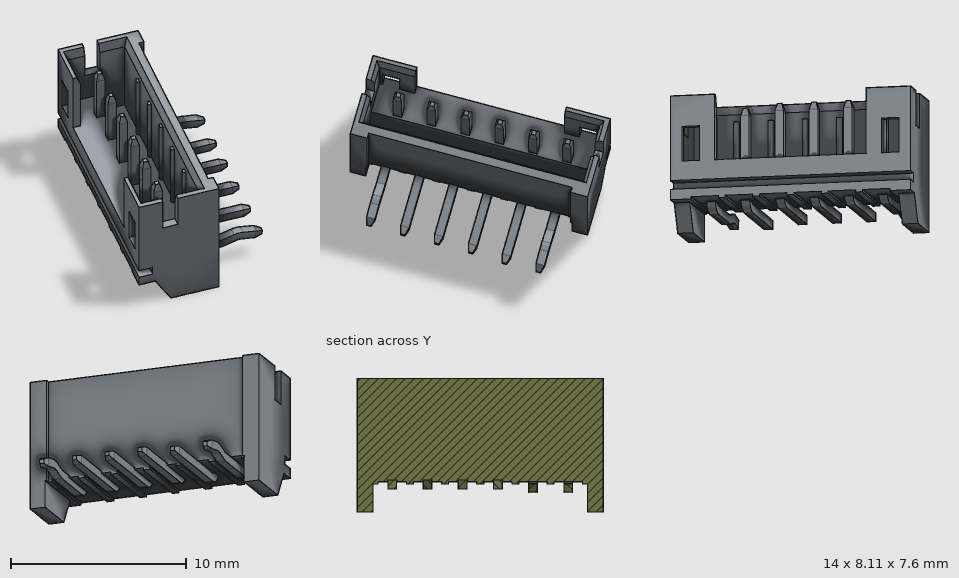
import cadquery as cq
import math


LENGTH = 14.0
HEIGHT = 7.6
DEPTH = 4.82
HALF_LENGTH = LENGTH / 2

PIN_COUNT = 6
PITCH = LENGTH / (PIN_COUNT + 1)
PIN_SIZE = 0.5

BODY_BOTTOM = 1.6
FOOT_WIDTH = 0.91
FOOT_FRONT = 1.92
FOOT_SLOPE_TOP = 0.98
NOTCH_WIDTH = 1.6
NOTCH_HEIGHT = 0.13

GROOVE_BOTTOM = 2.2
GROOVE_TOP = 2.7
GROOVE_DEPTH = 0.83

BACK_RECESS_DEPTH = 0.31
BACK_RECESS_LENGTH = PIN_COUNT * PITCH

SIDE_WALL = 0.5
FRONT_WALL = 0.43
CAVITY_BACK = 3.82
FLOOR = 3.81
LOW_FLOOR = 2.59
FLOOR_EDGE = 2.15
TROUGH_FRONT = 2.67
MOUTH_CHAMFER_WIDTH = 0.21
MOUTH_CHAMFER_HEIGHT = 0.52

FRONT_OPENING = 8.82
WINDOW_WIDTH = 1.01
WINDOW_TOP = 5.81
WINDOW_X = 5.81
SLOT_FRONT = 1.44
SLOT_BACK = 2.34
SLOT_BOTTOM = 5.59

RIB_RADIUS = 0.17
RIB_TOP = 6.66

UPRIGHT_Y = 1.76
SHOULDER_Z = 6.79
TAIL_Z = 1.57
TAIL_SHOULDER_Y = 7.63
BEND_RADIUS = 0.75
TIP_LENGTH = 0.43
TIP_SIZE = 0.25

KINK_START = 5.56
KINK_APEX = 6.61
KINK_RISE_ANGLE = math.radians(15)
KINK_FALL_ANGLE = math.radians(10)
KINK_ROUND = 0.21

LOW_PINS = (0, 1)
LOW_PIN_OFFSET = (0, 0.03, -0.2)
KINKED_PINS = (0, PIN_COUNT - 1)


def row(count):
    """X positions of a centred row at the pin pitch."""
    return [(i - (count - 1) / 2) * PITCH for i in range(count)]


def box(x0, x1, y0, y1, z0, z1):
    return cq.Workplane("XY").box(x1 - x0, y1 - y0, z1 - z0, centered=False).translate((x0, y0, z0))


def centred_box(x, width, y0, y1, z0, z1):
    return box(x - width / 2, x + width / 2, y0, y1, z0, z1)


def extrude_along_x(points, length):
    """Extrude a (Y, Z) outline symmetrically about X = 0."""
    return cq.Workplane("YZ").polyline(points).close().extrude(length / 2, both=True)


def make_shell():
    side_outline = [
        (0, HEIGHT),
        (0, GROOVE_TOP),
        (GROOVE_DEPTH, GROOVE_TOP),
        (GROOVE_DEPTH, GROOVE_BOTTOM),
        (0, GROOVE_BOTTOM),
        (0, BODY_BOTTOM),
        (FOOT_SLOPE_TOP, BODY_BOTTOM),
        (FOOT_FRONT, 0),
        (DEPTH, 0),
        (DEPTH, HEIGHT),
    ]
    shell = extrude_along_x(side_outline, LENGTH)
    between_feet = centred_box(0, LENGTH - 2 * FOOT_WIDTH, 0, DEPTH, 0, BODY_BOTTOM)
    back_recess = centred_box(0, BACK_RECESS_LENGTH, DEPTH - BACK_RECESS_DEPTH, DEPTH, 0, HEIGHT)
    return shell.cut(between_feet).cut(back_recess)


def make_cavity():
    cavity_outline = [
        (FRONT_WALL, HEIGHT),
        (FRONT_WALL, FLOOR),
        (FLOOR_EDGE, FLOOR),
        (TROUGH_FRONT, LOW_FLOOR),
        (CAVITY_BACK, LOW_FLOOR),
        (CAVITY_BACK, HEIGHT),
    ]
    width = LENGTH - 2 * SIDE_WALL
    depth = CAVITY_BACK - FRONT_WALL
    mouth = (
        cq.Workplane("XY", origin=(0, (FRONT_WALL + CAVITY_BACK) / 2, HEIGHT - MOUTH_CHAMFER_HEIGHT))
        .rect(width, depth)
        .workplane(offset=MOUTH_CHAMFER_HEIGHT)
        .rect(width + 2 * MOUTH_CHAMFER_WIDTH, depth + 2 * MOUTH_CHAMFER_WIDTH)
        .loft(ruled=True)
    )
    return extrude_along_x(cavity_outline, width).union(mouth)


def make_wall_openings():
    openings = centred_box(0, FRONT_OPENING, 0, FRONT_WALL, FLOOR, HEIGHT)
    for x in (-WINDOW_X, WINDOW_X):
        openings = openings.union(centred_box(x, WINDOW_WIDTH, 0, FRONT_WALL, FLOOR, WINDOW_TOP))
    side_slots = box(-HALF_LENGTH, HALF_LENGTH, SLOT_FRONT, SLOT_BACK, SLOT_BOTTOM, HEIGHT)
    return openings.union(side_slots)


def make_ribs():
    """Round bars centred on the back wall, so that half of each stands in the cavity."""
    return (
        cq.Workplane("XY", origin=(0, CAVITY_BACK, LOW_FLOOR))
        .pushPoints([(x, 0) for x in row(PIN_COUNT - 1)])
        .circle(RIB_RADIUS)
        .extrude(RIB_TOP - LOW_FLOOR)
    )


def make_tip(x, y, z, direction):
    """Pyramid frustum that tapers from the pin section along the given direction."""
    base = cq.Plane(origin=(x, y, z), xDir=(1, 0, 0), normal=direction)
    return (
        cq.Workplane(base)
        .rect(PIN_SIZE, PIN_SIZE)
        .workplane(offset=TIP_LENGTH)
        .rect(TIP_SIZE, TIP_SIZE)
        .loft(ruled=True)
    )


def make_pin(x, kinked):
    path = (
        cq.Workplane("YZ", origin=(x, 0, 0))
        .moveTo(UPRIGHT_Y, SHOULDER_Z)
        .lineTo(UPRIGHT_Y, TAIL_Z + BEND_RADIUS)
        .tangentArcPoint((UPRIGHT_Y + BEND_RADIUS, TAIL_Z), relative=False)
    )
    tail_end_z = TAIL_Z
    tail_direction = (0, 1, 0)
    if kinked:
        rise = math.tan(KINK_RISE_ANGLE)
        fall = math.tan(KINK_FALL_ANGLE)
        apex_z = TAIL_Z + (KINK_APEX - KINK_START) * rise
        tail_end_z = apex_z - (TAIL_SHOULDER_Y - KINK_APEX) * fall
        tail_direction = (0, math.cos(KINK_FALL_ANGLE), -math.sin(KINK_FALL_ANGLE))
        round_start = (
            KINK_APEX - KINK_ROUND * math.cos(KINK_RISE_ANGLE),
            apex_z - KINK_ROUND * math.sin(KINK_RISE_ANGLE),
        )
        round_end = (
            KINK_APEX + KINK_ROUND * math.cos(KINK_FALL_ANGLE),
            apex_z - KINK_ROUND * math.sin(KINK_FALL_ANGLE),
        )
        path = (
            path.lineTo(KINK_START, TAIL_Z)
            .lineTo(*round_start)
            .tangentArcPoint(round_end, relative=False)
        )
    path = path.lineTo(TAIL_SHOULDER_Y, tail_end_z)

    shank = (
        cq.Workplane("XY", origin=(x, UPRIGHT_Y, SHOULDER_Z))
        .rect(PIN_SIZE, PIN_SIZE)
        .sweep(path, transition="right")
    )
    upper_tip = make_tip(x, UPRIGHT_Y, SHOULDER_Z, (0, 0, 1))
    tail_tip = make_tip(x, TAIL_SHOULDER_Y, tail_end_z, tail_direction)
    return shank.union(upper_tip).union(tail_tip)


def make_pins():
    pins = []
    for index, x in enumerate(row(PIN_COUNT)):
        pin = make_pin(x, index in KINKED_PINS)
        if index in LOW_PINS:
            pin = pin.translate(LOW_PIN_OFFSET)
        pins.append(pin)
    return pins


def make_housing(pins):
    housing = make_shell().cut(make_cavity()).cut(make_wall_openings()).union(make_ribs())
    for x in row(PIN_COUNT):
        notch = centred_box(x, NOTCH_WIDTH, 0, DEPTH, BODY_BOTTOM, BODY_BOTTOM + NOTCH_HEIGHT)
        housing = housing.cut(notch)
    for pin in pins:
        housing = housing.cut(pin)
    return housing


pins = make_pins()
housing = make_housing(pins)

result = cq.Compound.makeCompound([housing.val(), *[pin.val() for pin in pins]])